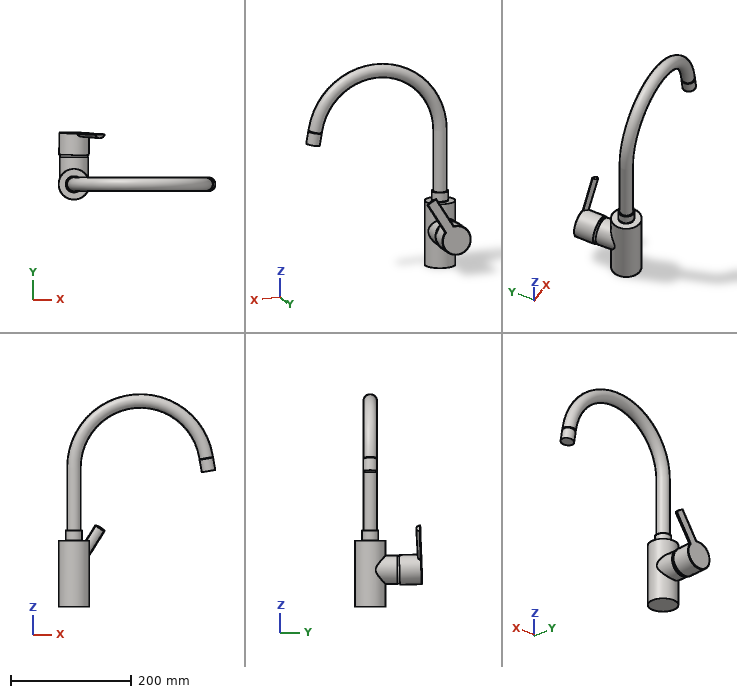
import cadquery as cq
import math

body_diameter = 51.2
body_height = 110.0
neck_diameter = 47.8
neck_axis_height = 61.5
neck_end = 45.0

cap_diameter = 50.0
cap_start = 49.2
cap_length = 36.55
lever_swing = 32.0
lever_tilt = 1.6
handle_reach = 82.5
handle_width = 18.0
handle_root_thickness = 6.0
handle_tip_thickness = 7.2
handle_side = 1.6
tip_radius = 36.0
tip_taper = 18.0
face_chamfer = 1.0

ring_diameter = 46.5
ring_end = cap_start + ring_diameter / 2 * math.tan(math.radians(lever_tilt))

collar_diameter = 27.5
collar_top = 127.0
collar_chamfer = 0.5
washer_diameter = 26.5
washer_thickness = 1.0

tube_diameter = 23.0
riser_top = 231.6
bend_radius = 110.4
outlet_tilt = 10.0
outlet_length = 3.5

aerator_diameter = 23.2
aerator_length = 22.3
aerator_neck_diameter = 21.5
aerator_neck_length = 1.4


def cylinder_along_y(diameter, start, end):
    """Cylinder on the neck axis between two Y positions."""
    plane = cq.Plane(origin=(0, start, neck_axis_height), xDir=(1, 0, 0), normal=(0, 1, 0))
    return cq.Workplane(plane).circle(diameter / 2).extrude(end - start)


def upright_ring(outer_diameter, bottom, top):
    """Ring around the spout riser between two heights."""
    ring = cq.Workplane("XY", origin=(0, 0, bottom)).circle(outer_diameter / 2)
    return ring.circle(tube_diameter / 2).extrude(top - bottom)


def make_body():
    """Column and side neck."""
    column = cq.Workplane("XY").circle(body_diameter / 2).extrude(body_height)
    return column.union(cylinder_along_y(neck_diameter, 0, neck_end))


def make_trim_ring(lever):
    """Ring whose outer end follows the tilted inner face of the lever cap."""
    return cylinder_along_y(ring_diameter, neck_end, ring_end).cut(lever)


def arched_section(workplane, thickness):
    """Handle section: flat outer face, short straight sides and an arched underside."""
    half_width = handle_width / 2
    return (
        workplane.moveTo(-half_width, 0)
        .lineTo(-half_width, -handle_side)
        .threePointArc((0, -thickness), (half_width, -handle_side))
        .lineTo(half_width, 0)
        .close()
    )


def make_handle(face_position):
    """Handle rising from the cap axis, thicker at the tip, with a rounded and undercut end."""
    root = cq.Workplane("XY", origin=(0, face_position, neck_axis_height))
    root = arched_section(root, handle_root_thickness)
    tip = arched_section(root.workplane(offset=handle_reach), handle_tip_thickness)
    bar = tip.loft(ruled=True)
    tip_centre = (0, face_position, neck_axis_height + handle_reach - tip_radius)
    tip_outline = cq.Workplane("XZ", origin=tip_centre).circle(tip_radius)
    return bar.intersect(tip_outline.extrude(handle_tip_thickness, taper=tip_taper))


def make_lever():
    """Cap and handle share a flat outer face; both tilt, then swing around the neck axis."""
    cap_end = cap_start + cap_length
    cap = cylinder_along_y(cap_diameter, cap_start, cap_end)
    lever = cap.union(make_handle(cap_end)).clean()
    lever = lever.faces(">Y").chamfer(face_chamfer)
    pivot = (0, cap_start, neck_axis_height)
    lever = lever.rotate(pivot, (1, cap_start, neck_axis_height), lever_tilt)
    return lever.rotate(pivot, (0, cap_start + 1, neck_axis_height), lever_swing)


def make_washer():
    """Thin seat between the body and the collar."""
    return upright_ring(washer_diameter, body_height, body_height + washer_thickness)


def make_collar():
    """Ring around the foot of the riser with its top outer edge chamfered."""
    collar = upright_ring(collar_diameter, body_height + washer_thickness, collar_top)
    top_edges = collar.faces(">Z").edges()
    return top_edges.edges(cq.selectors.RadiusNthSelector(-1)).chamfer(collar_chamfer)


tilt = math.radians(outlet_tilt)
outlet_direction = cq.Vector(math.sin(tilt), 0, -math.cos(tilt))
bend_end = cq.Vector(bend_radius * (1 + math.cos(tilt)), 0, riser_top + bend_radius * math.sin(tilt))
outlet_end = bend_end + outlet_direction * outlet_length


def make_spout():
    """Solid bar swept along the riser, the bend and the outlet."""
    path = (
        cq.Workplane("XZ")
        .moveTo(0, body_height)
        .lineTo(0, riser_top)
        .threePointArc((bend_radius, riser_top + bend_radius), (bend_end.x, bend_end.z))
        .lineTo(outlet_end.x, outlet_end.z)
    )
    return cq.Workplane("XY", origin=(0, 0, body_height)).circle(tube_diameter / 2).sweep(path)


def make_aerator():
    """Sleeve on the outlet axis, joined through a narrower neck that leaves a groove."""
    plane = cq.Plane(origin=outlet_end.toTuple(), xDir=(0, 1, 0), normal=outlet_direction.toTuple())
    neck = cq.Workplane(plane).circle(aerator_neck_diameter / 2).extrude(aerator_neck_length)
    sleeve = (
        cq.Workplane(plane)
        .workplane(offset=aerator_neck_length)
        .circle(aerator_diameter / 2)
        .extrude(aerator_length - aerator_neck_length)
    )
    return neck.union(sleeve)


body = make_body()
lever = make_lever()
trim_ring = make_trim_ring(lever)
washer = make_washer()
collar = make_collar()
spout = make_spout()
aerator = make_aerator()

bodies = [body, trim_ring, lever, washer, collar, spout, aerator]
result = cq.Compound.makeCompound([part.val() for part in bodies])